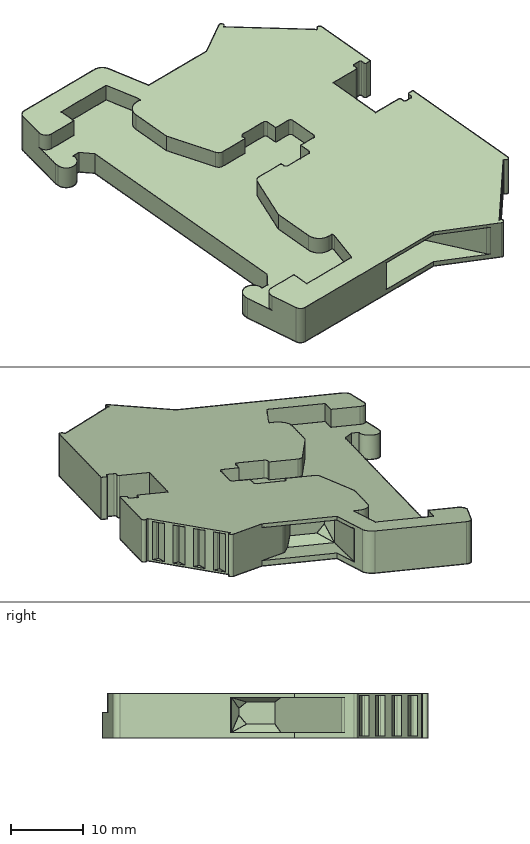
import cadquery as cq
import math

total_height = 44.6
thickness = 6.1
step_z = 3.5
foot_width = 57.0
head_mid_x = 33.15
foot_mid_x = foot_width / 2

bead_r = 0.4
tip_bead = (4.8, 34.65)
top_bead = (14.3, 44.25)
slope_start = (5.2, 34.65)
slope_end = (14.2, 43.7)
flank_angle = 30.6
left_wall_x = 7.5

slot_width = 8.6
slot_half = slot_width / 2
slot_floor_y = 37.7
slot_groove_half = 5.25
slot_groove_top_y = 43.6
slot_groove_bottom_y = 42.2
slot_round = 0.25

ledge_y = 16.7
ledge_top_y = 18.7
ledge_round = 1.55
foot_corner_y = 1.6
foot_round = 1.0
hook_r = 1.5
hook_x = 9.5
heel_x = 9.05
hook_neck_x = 9.35
hook_neck_low_y = 2.9
hook_neck_high_y = 4.0
rail_x = 11.0
rail_y = 5.45

arrow_tip_half, arrow_tip_y = 2.55, 28.15
arrow_head_half, arrow_head_y = 4.6, 25.35
arrow_stem_half, arrow_stem_y = 3.65, 20.7
stem_base_y = 15.95
stem_base_round = 0.85
arrow_round = 0.45
ramp_end_x = 17.15
ramp_end_y = 13.1
lobe_diameter = 4.0
lobe_r = lobe_diameter / 2
lobe_x = 9.05
pocket_side_x = 3.6
pocket_side_y = 14.35
pocket_peak_x = 8.6
pocket_peak_y = 15.7
pocket_foot_x = 6.2
pocket_foot_y = 6.0
pocket_foot_round = 1.1

plate_z = 0.8
recess_top_z = 5.55
entry_lip = (3.2, 17.5)
mouth_x = 11.75
mouth_low_y, mouth_high_y = 17.7, 24.45
ceiling_slope = 0.54
funnel_floor_high_y = 23.65
funnel_floor_low_y = 18.7
funnel_floor_low_z, funnel_floor_high_z = 1.9, 4.95
funnel_chamfer_y = 1.05
funnel_edge_low_z, funnel_edge_high_z = 3.15, 4.1
ceiling_round = 1.1

groove_count = 4
groove_pitch_y = 2.2
groove_first_y = 43.2
groove_drop_y = 1.3
groove_wall = (0.1, 0.6)
groove_floor = (0.25, 0.9)
groove_end_margin = 0.3


def mirrored(point, mid_x):
    """The point reflected across the line X = mid_x."""
    return (2 * mid_x - point[0], point[1])


def prism(points, z_low, z_high):
    return cq.Workplane("XY").workplane(offset=z_low).polyline(points).close().extrude(z_high - z_low)


def disc(center, radius):
    return cq.Workplane("XY").center(*center).circle(radius).extrude(thickness)


def round_edge(solid, point, radius, z_low=0, z_high=thickness):
    """Fillet the upright edge that stands at the given point."""
    middle = (point[0], point[1], (z_low + z_high) / 2)
    return solid.edges("|Z").edges(cq.selectors.NearestToPointSelector(middle)).fillet(radius)


def round_edges(solid, points, radius, z_low=0, z_high=thickness):
    for point in points:
        solid = round_edge(solid, point, radius, z_low, z_high)
    return solid


def both_sides(points, mid_x):
    return points + [mirrored(point, mid_x) for point in reversed(points)]


flank = math.radians(flank_angle)
flank_start = (tip_bead[0] - bead_r * math.cos(flank), tip_bead[1] - bead_r * math.sin(flank))
right_flank_start = mirrored(flank_start, head_mid_x)
left_flank_y = flank_start[1] - (left_wall_x - flank_start[0]) / math.tan(flank)
right_flank_y = right_flank_start[1] - (right_flank_start[0] - foot_width) / math.tan(flank)

ledge_corner = (0, ledge_y)
foot_corner = (0, foot_corner_y)

left_head = [
    (left_wall_x, left_flank_y),
    flank_start,
    slope_start,
    slope_end,
    (top_bead[0], total_height),
]
slot_groove_corners = [
    (foot_mid_x - slot_half, slot_groove_top_y),
    (foot_mid_x - slot_groove_half, slot_groove_top_y),
    (foot_mid_x - slot_groove_half, slot_groove_bottom_y),
    (foot_mid_x - slot_half, slot_groove_bottom_y),
]
slot_side = (
    [(foot_mid_x - slot_half, total_height)]
    + slot_groove_corners
    + [(foot_mid_x - slot_half, slot_floor_y)]
)
right_head = [mirrored(point, head_mid_x) for point in reversed(left_head[1:])]
foot_side = [
    foot_corner,
    (heel_x, 0),
    (hook_x, 0),
    (hook_x, hook_r),
    (hook_neck_x, hook_neck_low_y),
    (hook_neck_x, hook_neck_high_y),
    (rail_x, rail_y),
]


def make_body():
    outline = (
        [ledge_corner, (left_wall_x, ledge_top_y)]
        + left_head
        + both_sides(slot_side, foot_mid_x)
        + right_head
        + [(foot_width, right_flank_y)]
        + [mirrored(point, foot_mid_x) for point in foot_side]
        + list(reversed(foot_side))
    )
    body = prism(outline, 0, thickness)
    body = round_edge(body, ledge_corner, ledge_round)
    body = round_edges(body, both_sides([foot_corner], foot_mid_x), foot_round)
    body = round_edges(body, both_sides(slot_groove_corners, foot_mid_x), slot_round)
    for bead in both_sides([tip_bead, top_bead], head_mid_x):
        body = body.union(disc(bead, bead_r))
    for hook in both_sides([(hook_x, hook_r)], foot_mid_x):
        body = body.union(disc(hook, hook_r))
    return body


def make_pocket():
    arrow_corners = [
        (foot_mid_x - arrow_head_half, arrow_stem_y),
        (foot_mid_x - arrow_head_half, arrow_head_y),
        (foot_mid_x - arrow_tip_half, arrow_tip_y),
    ]
    stem_base = (foot_mid_x - arrow_stem_half, stem_base_y)
    lobe_corner = (lobe_x, ramp_end_y)
    open_y = -hook_r
    side = [
        (pocket_foot_x, open_y),
        (pocket_foot_x, pocket_foot_y),
        (pocket_side_x, pocket_foot_y),
        (pocket_side_x, pocket_side_y),
        (pocket_peak_x, pocket_peak_y),
        (lobe_x, pocket_peak_y),
        lobe_corner,
        (ramp_end_x, ramp_end_y),
        stem_base,
        (foot_mid_x - arrow_stem_half, arrow_stem_y),
        arrow_corners[0],
        arrow_corners[1],
        (foot_mid_x - arrow_tip_half, arrow_head_y),
        arrow_corners[2],
    ]
    pocket = prism(both_sides(side, foot_mid_x), step_z, thickness)
    for points, radius in (
        (arrow_corners, arrow_round),
        ([stem_base], stem_base_round),
        ([lobe_corner], lobe_r),
    ):
        pocket = round_edges(pocket, both_sides(points, foot_mid_x), radius, step_z, thickness)
    return pocket


def round_pocket_feet(solid):
    foot_end = (pocket_foot_x, foot_corner_y * (1 - pocket_foot_x / heel_x))
    return round_edges(
        solid, both_sides([foot_end], foot_mid_x), pocket_foot_round, step_z, thickness
    )


def polyhedron(faces):
    """Solid bounded by flat faces, each given as a list of corner points."""
    walls = [
        cq.Face.makeFromWires(cq.Wire.makePolygon([cq.Vector(*p) for p in face], close=True))
        for face in faces
    ]
    return cq.Workplane(obj=cq.Solid.makeSolid(cq.Shell.makeShell(walls)))


def make_funnel():
    """Tapered end of the left wire entry, from a rectangular mouth to a six-sided floor."""
    floor_x = mouth_x + (mouth_high_y - funnel_floor_high_y) / ceiling_slope
    chamfer_y = funnel_floor_low_y + funnel_chamfer_y
    mouth = [
        (mouth_x, mouth_high_y, recess_top_z),
        (mouth_x, mouth_low_y, recess_top_z),
        (mouth_x, mouth_low_y, plate_z),
        (mouth_x, mouth_high_y, plate_z),
    ]
    floor = [
        (floor_x, funnel_floor_high_y, funnel_floor_high_z),
        (floor_x, chamfer_y, funnel_floor_high_z),
        (floor_x, funnel_floor_low_y, funnel_edge_high_z),
        (floor_x, funnel_floor_low_y, funnel_edge_low_z),
        (floor_x, chamfer_y, funnel_floor_low_z),
        (floor_x, funnel_floor_high_y, funnel_floor_low_z),
    ]
    ceiling = [mouth[0], mouth[3], floor[5], floor[0]]
    upper_side = [mouth[0], mouth[1], floor[1], floor[0]]
    upper_corner = [mouth[1], floor[1], floor[2]]
    base = [mouth[1], mouth[2], floor[3], floor[2]]
    lower_corner = [mouth[2], floor[3], floor[4]]
    lower_side = [mouth[2], mouth[3], floor[5], floor[4]]
    return polyhedron(
        [mouth, floor, ceiling, upper_side, upper_corner, base, lower_corner, lower_side]
    )


def ceiling_y(depth_x):
    """Height of the entry ceiling at a distance inwards from the foot's outer side."""
    return mouth_high_y + (mouth_x - depth_x) * ceiling_slope


def cut_wire_entries(body):
    mouth_low = (mouth_x, mouth_low_y)
    mouth_high = (mouth_x, mouth_high_y)

    flank_run = math.tan(flank)
    gap_y = left_flank_y - ceiling_y(left_wall_x)
    left_corner_y = left_flank_y - gap_y / (1 - ceiling_slope * flank_run)
    left_corner_x = left_wall_x + (left_flank_y - left_corner_y) * flank_run
    left_corner = (left_corner_x, left_corner_y)
    left_recess = prism(
        [
            (entry_lip[0], left_flank_y),
            (left_wall_x, left_flank_y),
            left_corner,
            mouth_high,
            mouth_low,
            entry_lip,
        ],
        plate_z,
        recess_top_z,
    )

    outer_x = 2 * (foot_mid_x - head_mid_x)
    right_recess = prism(
        [
            mirrored((outer_x, ceiling_y(outer_x)), foot_mid_x),
            mirrored(mouth_high, foot_mid_x),
            mirrored(mouth_low, foot_mid_x),
            mirrored(entry_lip, foot_mid_x),
            mirrored((outer_x, entry_lip[1]), foot_mid_x),
        ],
        plate_z,
        recess_top_z,
    )
    funnel = make_funnel()
    right_funnel = funnel.mirror("YZ").translate((2 * foot_mid_x, 0, 0))
    for cutter in (left_recess, right_recess, funnel, right_funnel):
        body = body.cut(cutter)

    wall_gap_y = ceiling_y(0) - right_flank_y
    right_corner_x = foot_width + wall_gap_y / (1 / flank_run - ceiling_slope)
    right_corner = (right_corner_x, ceiling_y(foot_width - right_corner_x))
    return round_edges(body, [left_corner, right_corner], ceiling_round, plate_z, recess_top_z)


def cut_grip_grooves(body):
    slope = (slope_end[1] - slope_start[1]) / (slope_end[0] - slope_start[0])
    for index in range(groove_count):
        top_y = groove_first_y - index * groove_pitch_y
        top_x = slope_end[0] - (slope_end[1] - top_y) / slope
        section = [
            (top_x, top_y),
            (top_x + groove_wall[0], top_y - groove_wall[1]),
            (top_x + groove_floor[0], top_y - groove_floor[1]),
            (top_x - groove_drop_y / slope, top_y - groove_drop_y),
        ]
        for side in (section, [mirrored(point, head_mid_x) for point in section]):
            body = body.cut(prism(side, groove_end_margin, thickness - groove_end_margin))
    return body


result = make_body()
result = result.cut(make_pocket())
result = round_pocket_feet(result)
result = cut_wire_entries(result)
result = cut_grip_grooves(result)